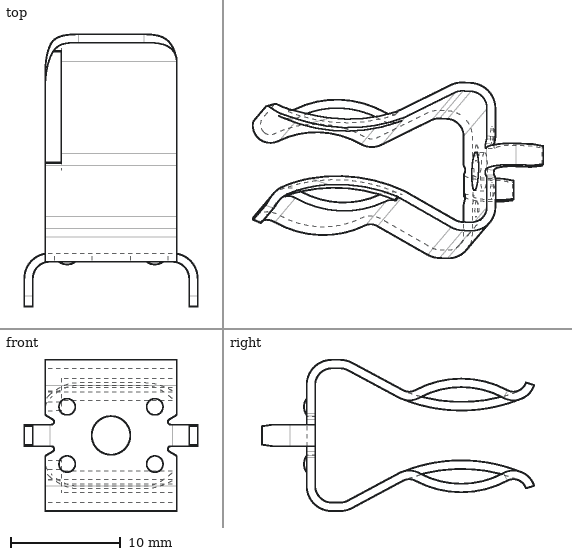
import cadquery as cq
import math


overall_length = 24.82
thickness = 0.8
half_width = 6.0
half_height = 6.9

corner_radius = 2.3
top_flat_end_y = 3.05
leg_end_y = 8.79
leg_slope = 28.2
grip_center_y = 14.1
curl_radius = 1.2
tip_normal = 162.5
tip_corner_radius = 3.0

strip_width = 1.5
strip_mid_z = 3.05
slot_end_y = 8.98
slot_step = 0.07

hole_diameter = 3.5
dimple_radius = 0.75
dimple_height = 0.25
dimple_x = 4.0
dimple_z = 2.6

tab_half_width = 1.0
tab_tip_half_width = 0.85
overall_width = 15.8
tab_outer_x = overall_width / 2
tab_taper_length = 1.0
tab_bend_radius = corner_radius
tab_bend_x = tab_outer_x - tab_bend_radius
notch_radius = 0.25
notch_center_x = 5.44
notch_slope = 30

corner_sections = 8
touching = 0.0002

front_normal = 180
top_normal = 90
leg_normal = top_normal - leg_slope
grip_normal = top_normal + leg_slope


def unit(angle):
    return math.cos(math.radians(angle)), math.sin(math.radians(angle))


def on_arc(center, radius, angle):
    return center[0] + radius * unit(angle)[0], center[1] + radius * unit(angle)[1]


corner_center = (corner_radius, half_height - corner_radius)
shoulder_center = (top_flat_end_y, half_height - corner_radius)
shoulder_end = on_arc(shoulder_center, corner_radius, leg_normal)
leg_end_z = shoulder_end[1] - (leg_end_y - shoulder_end[0]) * math.tan(math.radians(leg_slope))

saddle_center = on_arc((leg_end_y, leg_end_z), curl_radius, leg_normal)
curl_center = (2 * grip_center_y - saddle_center[0], saddle_center[1])
curl_start_y = on_arc(curl_center, -curl_radius, leg_normal)[0]
grip_radius = (curl_start_y - grip_center_y) / math.sin(math.radians(leg_slope))
grip_center_z = saddle_center[1] - (curl_radius + grip_radius) * unit(leg_normal)[1]

corner = (corner_center, corner_radius, front_normal, top_normal)
shoulder = (shoulder_center, corner_radius, top_normal, leg_normal)
saddle = (saddle_center, -curl_radius, leg_normal, grip_normal)
grip = ((grip_center_y, grip_center_z), grip_radius, grip_normal, leg_normal)
curl = (curl_center, -curl_radius, leg_normal, tip_normal)

slot_end_normal = math.degrees(math.acos((saddle_center[0] - slot_end_y) / curl_radius))
strip_saddle = (saddle_center, -curl_radius, leg_normal, slot_end_normal)
strip_curl_outer = (curl_center, -curl_radius, 180 - slot_end_normal, tip_normal)
strip_curl_inner = (curl_center, -curl_radius, grip_normal, tip_normal)

tip_y = on_arc(curl_center, -curl_radius - thickness, tip_normal)[0]
tab_tip_y = tip_y - overall_length
tab_taper_y = tab_tip_y + tab_taper_length


def face_arcs(bends, depth):
    """Start, middle and end points of each bend on the sheet face at the given depth."""
    arcs = []
    for center, radius, start, end in bends:
        angles = (start, (start + end) / 2, end)
        arcs.append([on_arc(center, radius - depth, angle) for angle in angles])
    return arcs


def strip_arc(start, mid_z):
    """Dipping arc of the strip, symmetric about the grip mid point."""
    end = (2 * grip_center_y - start[0], start[1])
    return [start, (grip_center_y, mid_z), end]


def sheet(outer_arcs, inner_arcs, x_start, x_end):
    """Solid between two chains of arcs joined by straight lines, starting at Z = 0."""
    inward_chain = [arc[::-1] for arc in reversed(inner_arcs)]
    profile = cq.Workplane("YZ").workplane(offset=x_start).moveTo(0, 0)
    previous = (0, 0)
    for start, middle, end in outer_arcs + inward_chain:
        if math.dist(previous, start) > touching:
            profile = profile.lineTo(*start)
        profile = profile.threePointArc(middle, end)
        previous = end
    return profile.lineTo(thickness, 0).close().extrude(x_end - x_start)


def strip_side_corner():
    """Waste outside the -X tip corner, running straight through the sheet at the tip."""
    tip = on_arc(curl_center, -curl_radius, tip_normal)
    normal_y, normal_z = unit(tip_normal)
    plane = cq.Plane(origin=(0, *tip), xDir=(1, 0, 0), normal=(0, normal_y, normal_z))
    arc_x, arc_y = on_arc((half_width - tip_corner_radius, -tip_corner_radius), tip_corner_radius, 45)
    return (
        cq.Workplane(plane)
        .moveTo(-half_width, 0)
        .lineTo(tip_corner_radius - half_width, 0)
        .threePointArc((-arc_x, arc_y), (-half_width, -tip_corner_radius))
        .close()
        .extrude(half_height, both=True)
    )


def grip_side_corner():
    """Waste outside the +X tip corner, which is rounded in the flat sheet and bent with the curl."""
    outer_radius = -curl_radius / 2
    inner_radius = -curl_radius - 2 * thickness
    x_outside = half_width + thickness
    sections = []
    for step in range(corner_sections + 1):
        corner_angle = math.radians(90 * step / corner_sections)
        normal = tip_normal - (tip_normal - leg_normal) * (1 - math.cos(corner_angle))
        x_inside = half_width - tip_corner_radius * (1 - math.sin(corner_angle))
        outer_y, outer_z = on_arc(curl_center, outer_radius, normal)
        inner_y, inner_z = on_arc(curl_center, inner_radius, normal)
        points = [
            (x_inside, outer_y, outer_z),
            (x_outside, outer_y, outer_z),
            (x_outside, inner_y, inner_z),
            (x_inside, inner_y, inner_z),
        ]
        sections.append(cq.Wire.makePolygon([cq.Vector(*point) for point in points], close=True))
    return cq.Workplane(cq.Solid.makeLoft(sections))


def upper_leg():
    """Upper half of the base plate with its spring leg."""
    strip_x = strip_width - half_width
    grip_bends = [corner, shoulder, saddle, grip, curl]
    grip_part = sheet(face_arcs(grip_bends, 0), face_arcs(grip_bends, thickness), strip_x, half_width)
    grip_part = grip_part.cut(grip_side_corner())

    base_bends = [corner, shoulder]
    outer_base = face_arcs(base_bends + [strip_saddle], 0)
    slot_end_z = outer_base[-1][-1][1]
    outer_strip = strip_arc((slot_end_y + slot_step, slot_end_z - slot_step), strip_mid_z)
    inner_start = on_arc(saddle_center, -curl_radius - thickness, leg_normal)
    inner_strip = strip_arc(inner_start, strip_mid_z - thickness)
    outer_arcs = outer_base + [outer_strip] + face_arcs([strip_curl_outer], 0)
    inner_arcs = face_arcs(base_bends, thickness) + [inner_strip]
    inner_arcs = inner_arcs + face_arcs([strip_curl_inner], thickness)
    strip_part = sheet(outer_arcs, inner_arcs, -half_width, strip_x)
    return grip_part.union(strip_part).cut(strip_side_corner())


def tab_notch(side):
    """Opening in the plate edge for a tab, with a round-ended relief above and below it."""
    relief_z = tab_half_width + notch_radius
    relief = (notch_center_x, relief_z)
    slope_start = on_arc(relief, notch_radius, 90 + notch_slope)
    rise = math.tan(math.radians(notch_slope))
    edge_z = slope_start[1] + (half_width - slope_start[0]) * rise
    tangent = notch_radius * math.tan(math.radians(90 - notch_slope) / 2)
    round_center = (half_width - notch_radius, edge_z + tangent)
    slope_end = on_arc(round_center, notch_radius, notch_slope - 90)
    round_mid = on_arc(round_center, notch_radius, (notch_slope - 90) / 2)
    relief_mid = on_arc(relief, notch_radius, 180 + notch_slope / 2)

    def at(point, z_side):
        return side * point[0], z_side * point[1]

    outline = cq.Workplane("XZ").moveTo(*at(round_center, 1)).move(side * notch_radius, 0)
    outline = outline.threePointArc(at(round_mid, 1), at(slope_end, 1)).lineTo(*at(slope_start, 1))
    outline = outline.threePointArc(at(relief_mid, 1), at((notch_center_x, tab_half_width), 1))
    outline = outline.lineTo(*at((tab_bend_x, tab_half_width), 1))
    outline = outline.lineTo(*at((tab_bend_x, tab_half_width), -1))
    outline = outline.lineTo(*at((notch_center_x, tab_half_width), -1))
    outline = outline.threePointArc(at(relief_mid, -1), at(slope_start, -1)).lineTo(*at(slope_end, -1))
    outline = outline.threePointArc(at(round_mid, -1), (side * half_width, -round_center[1]))
    return outline.close().extrude(-thickness)


def tab():
    """Tab on the +X side, bent forward from the plate and tapered at its tip."""
    center = (tab_bend_x, thickness - tab_bend_radius)
    inner_radius = tab_bend_radius - thickness
    blank = (
        cq.Workplane("XY")
        .workplane(offset=-tab_half_width)
        .moveTo(tab_bend_x, thickness)
        .threePointArc(on_arc(center, tab_bend_radius, 45), (tab_outer_x, center[1]))
        .lineTo(tab_outer_x, tab_tip_y)
        .lineTo(tab_outer_x - thickness, tab_tip_y)
        .lineTo(tab_outer_x - thickness, center[1])
        .threePointArc(on_arc(center, inner_radius, 45), (tab_bend_x, 0))
        .close()
        .extrude(2 * tab_half_width)
    )
    side_outline = (
        cq.Workplane("YZ")
        .moveTo(thickness, tab_half_width)
        .lineTo(tab_taper_y, tab_half_width)
        .lineTo(tab_tip_y, tab_tip_half_width)
        .lineTo(tab_tip_y, -tab_tip_half_width)
        .lineTo(tab_taper_y, -tab_half_width)
        .lineTo(thickness, -tab_half_width)
        .close()
        .extrude(tab_outer_x)
    )
    return blank.intersect(side_outline)


def dimple(x, z):
    """Shallow spherical cap standing on the front of the base plate."""
    sphere_radius = (dimple_radius ** 2 + dimple_height ** 2) / (2 * dimple_height)
    ball = cq.Workplane("XY").sphere(sphere_radius)
    ball = ball.translate((x, sphere_radius - dimple_height, z))
    front = cq.Workplane("XZ").center(x, z).circle(dimple_radius).extrude(2 * dimple_height)
    root = cq.Workplane("XZ").center(x, z).circle(dimple_radius).extrude(-thickness / 2)
    return ball.intersect(front.union(root))


leg = upper_leg()
result = leg.union(leg.mirror("XY"))

hole = cq.Workplane("XZ").circle(hole_diameter / 2).extrude(-thickness)
result = result.cut(hole)

right_tab = tab()
result = result.cut(tab_notch(1)).cut(tab_notch(-1))
result = result.union(right_tab).union(right_tab.mirror("YZ"))

for x in (-dimple_x, dimple_x):
    for z in (-dimple_z, dimple_z):
        result = result.union(dimple(x, z))